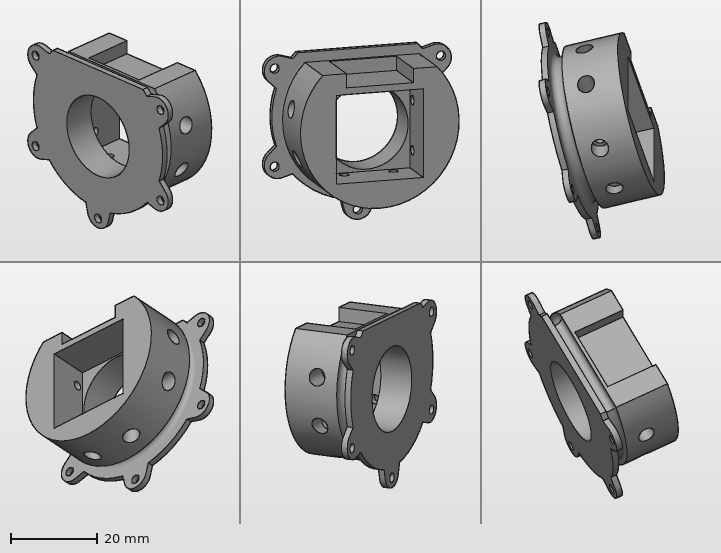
import cadquery as cq
import math

overall_width = 45.7
total_depth = 18.0
plate_thickness = 1.5
plate_radius = 21.0
plate_flat_height = 15.07

ear_angles = (30, 150, 210, 270, 330)
ear_tip_radius = 3.43
ear_tip_distance = (overall_width / 2 - ear_tip_radius) / math.cos(math.radians(30))
ear_root_half_width = 3.97
mount_hole_diameter = 2.2
mount_hole_distance = 23.45

housing_start = 4.5
housing_radius = 19.35
housing_flat_height = 13.45
neck_inset = 2.25
neck_fillet = 1.35

opening_drop = 2.2
bore_diameter = 20.3
pocket_width = 21.2
pocket_start = 8.05

slot_width = 16.35
slot_start = 5.35
slot_floor_height = 10.05

screw_hole_diameter = 2.2
screw_head_diameter = 4.0
screw_offset = 6.0
screw_depth_position = 9.8
screw_seat_thickness = 2.0


def flat_topped_disc(radius, flat_height, start, end):
    """Disc between two Y positions, cut off level at flat_height."""
    half_chord = math.sqrt(radius**2 - flat_height**2)
    return (
        cq.Workplane("XZ", origin=(0, start, 0))
        .moveTo(-half_chord, flat_height)
        .threePointArc((0, -radius), (half_chord, flat_height))
        .close()
        .extrude(start - end)
    )


def cylinder_along_y(diameter, x, z, start, end):
    return cq.Workplane("XZ", origin=(x, start, z)).circle(diameter / 2).extrude(start - end)


def ear(angle):
    """Tapered ear with a round tip, whose sides run tangent to the tip."""
    root_distance = math.sqrt(plate_radius**2 - ear_root_half_width**2)
    root_to_tip = ear_tip_distance - root_distance
    root_direction = math.atan2(ear_root_half_width, -root_to_tip)
    tangent_turn = math.acos(ear_tip_radius / math.hypot(ear_root_half_width, root_to_tip))
    tangent_direction = root_direction - tangent_turn
    tangent_distance = ear_tip_distance + ear_tip_radius * math.cos(tangent_direction)
    tangent_half_width = ear_tip_radius * math.sin(tangent_direction)
    blank = (
        cq.Workplane("XZ")
        .moveTo(0, 0)
        .lineTo(root_distance, ear_root_half_width)
        .lineTo(tangent_distance, tangent_half_width)
        .threePointArc(
            (ear_tip_distance + ear_tip_radius, 0),
            (tangent_distance, -tangent_half_width),
        )
        .lineTo(root_distance, -ear_root_half_width)
        .close()
        .extrude(-plate_thickness)
    )
    return blank.rotate((0, 0, 0), (0, 1, 0), -angle)


def screw_hole(direction, x, z, seat_distance):
    """Counterbored hole running outward from inside the pocket along direction."""
    length = housing_radius
    start = cq.Vector(x, screw_depth_position, z)
    seat = start + direction * seat_distance
    shank = cq.Solid.makeCylinder(screw_hole_diameter / 2, length, start, direction)
    head = cq.Solid.makeCylinder(screw_head_diameter / 2, length, seat, direction)
    return cq.Workplane(shank.fuse(head))


result = flat_topped_disc(plate_radius, plate_flat_height, 0, plate_thickness)
for ear_angle in ear_angles:
    result = result.union(ear(ear_angle))

neck_radius = housing_radius - neck_inset
neck_flat_height = housing_flat_height - neck_inset
neck = flat_topped_disc(neck_radius, neck_flat_height, plate_thickness, housing_start)
housing = flat_topped_disc(housing_radius, housing_flat_height, housing_start, total_depth)
result = result.union(neck).union(housing)
selection_margin = 0.45
neck_reach = neck_radius + selection_margin
neck_region = cq.selectors.BoxSelector(
    (-neck_reach, plate_thickness - selection_margin, -neck_reach),
    (neck_reach, housing_start + selection_margin, neck_flat_height + selection_margin),
    boundingbox=True,
)
result = result.edges(neck_region).edges("not |Y").fillet(neck_fillet)

pocket_depth = total_depth - pocket_start
result = result.cut(cylinder_along_y(bore_diameter, 0, -opening_drop, 0, total_depth))
pocket = cq.Workplane("XY").box(pocket_width, pocket_depth, pocket_width)
result = result.cut(pocket.translate((0, pocket_start + pocket_depth / 2, -opening_drop)))

slot = cq.Workplane("XY").box(
    slot_width,
    total_depth - slot_start,
    housing_flat_height - slot_floor_height,
    centered=(True, False, False),
)
result = result.cut(slot.translate((0, slot_start, slot_floor_height)))

for ear_angle in ear_angles:
    hole_x = mount_hole_distance * math.cos(math.radians(ear_angle))
    hole_z = mount_hole_distance * math.sin(math.radians(ear_angle))
    result = result.cut(cylinder_along_y(mount_hole_diameter, hole_x, hole_z, 0, plate_thickness))

seat_distance = pocket_width / 2 + screw_seat_thickness
for offset in (-screw_offset, screw_offset):
    for side in (-1, 1):
        outward = cq.Vector(side, 0, 0)
        result = result.cut(screw_hole(outward, 0, offset - opening_drop, seat_distance))
    downward = cq.Vector(0, 0, -1)
    result = result.cut(screw_hole(downward, offset, -opening_drop, seat_distance))